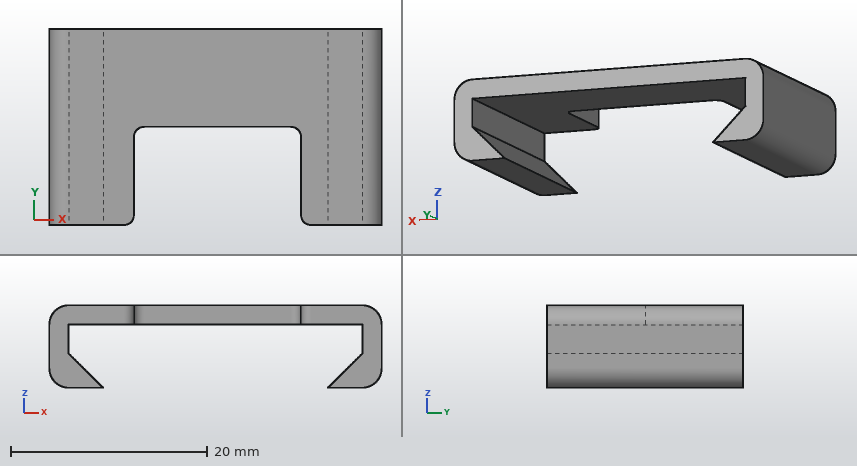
import cadquery as cq

length = 33.9
depth = 20.0
height = 8.45

wall = 1.95
top_thickness = 2.0
corner_radius = 2.0
hook_reach = 5.53
hook_height = 3.53

notch_width = 17.02
notch_depth = depth / 2
notch_radius = 1.02
notch_offset = 0.2


def make_clip():
    """C-shaped section with two inward hooks, extruded along Y."""
    block = (
        cq.Workplane("XY")
        .box(length, depth, height)
        .edges("|Y")
        .fillet(corner_radius)
    )
    bottom = -height / 2
    ceiling = height / 2 - top_thickness
    inner_x = length / 2 - wall
    tip_x = length / 2 - hook_reach
    slope_top = bottom + hook_height
    cavity = (
        cq.Workplane("XZ")
        .polyline([
            (-tip_x, bottom),
            (-inner_x, slope_top),
            (-inner_x, ceiling),
            (inner_x, ceiling),
            (inner_x, slope_top),
            (tip_x, bottom),
        ])
        .close()
        .extrude(depth / 2, both=True)
    )
    return block.cut(cavity)


def make_notch():
    """Notch cutter with rounded inner corners and flared mouth corners."""
    front = -depth / 2
    back = front + notch_depth
    side = notch_width / 2
    r = notch_radius
    return (
        cq.Workplane("XY")
        .moveTo(-side - r, front)
        .radiusArc((-side, front + r), -r)
        .lineTo(-side, back - r)
        .radiusArc((-side + r, back), r)
        .lineTo(side - r, back)
        .radiusArc((side, back - r), r)
        .lineTo(side, front + r)
        .radiusArc((side + r, front), -r)
        .close()
        .extrude(height / 2)
    )


result = make_clip().cut(make_notch().translate((notch_offset, 0, 0)))